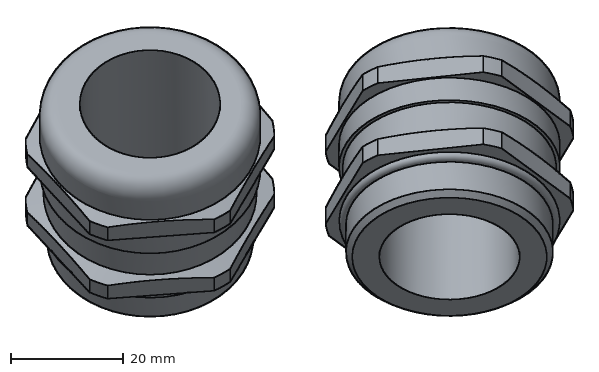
import cadquery as cq
import math

corner_diameter = 44.3
across_flats = 40.0
hex_corner_height = 3.65
hex_top_angle = 15.0
lower_hex_bottom = 8.9
upper_hex_bottom = 25.07

total_height = 38.0
bore_radius = 12.5
spigot_radius = 18.45
spigot_top = 7.18
chamfer_width = 1.1
chamfer_height = 1.0
seal_radius = 19.62
body_radius = 19.0
collar_bottom = 20.05
collar_radius = 19.65
dome_radius = 3.45


def cylinder(radius, bottom, top):
    return cq.Workplane("XY").workplane(offset=bottom).circle(radius).extrude(top - bottom)


def hex_nut(bottom):
    """Hexagon with corners on the X axis, trimmed by a cylinder, with a shallow cone on top."""
    corner_radius = corner_diameter / 2
    cone_rise = (corner_radius - body_radius) * math.tan(math.radians(hex_top_angle))
    corner_top = bottom + hex_corner_height
    cone_top = corner_top + cone_rise
    hexagon = (
        cq.Workplane("XY")
        .workplane(offset=bottom)
        .polygon(6, across_flats, circumscribed=True)
        .extrude(cone_top - bottom)
        .rotate((0, 0, 0), (0, 0, 1), 30)
    )
    envelope = (
        cq.Workplane("XZ")
        .moveTo(0, bottom)
        .lineTo(corner_radius, bottom)
        .lineTo(corner_radius, corner_top)
        .lineTo(body_radius, cone_top)
        .lineTo(0, cone_top)
        .close()
        .revolve(360, (0, 0, 0), (0, 1, 0))
    )
    return hexagon.intersect(envelope)


def spigot():
    """Entry end with a bevelled lower edge."""
    return (
        cylinder(spigot_radius, 0, lower_hex_bottom)
        .faces("<Z")
        .chamfer(chamfer_height, chamfer_width)
    )


def seal_ring():
    """Ring with a half-round rim between the spigot and the lower nut."""
    rim_radius = (lower_hex_bottom - spigot_top) / 2
    rim_start = seal_radius - rim_radius
    return (
        cq.Workplane("XZ")
        .moveTo(0, spigot_top)
        .lineTo(rim_start, spigot_top)
        .threePointArc((seal_radius, spigot_top + rim_radius), (rim_start, lower_hex_bottom))
        .lineTo(0, lower_hex_bottom)
        .close()
        .revolve(360, (0, 0, 0), (0, 1, 0))
    )


def cap():
    """Collar and domed cap as one cylinder with a rounded top edge."""
    return cylinder(collar_radius, collar_bottom, total_height).faces(">Z").edges().fillet(dome_radius)


result = (
    spigot()
    .union(seal_ring())
    .union(cylinder(body_radius, lower_hex_bottom, collar_bottom))
    .union(cap())
    .union(hex_nut(lower_hex_bottom))
    .union(hex_nut(upper_hex_bottom))
    .cut(cylinder(bore_radius, 0, total_height))
)